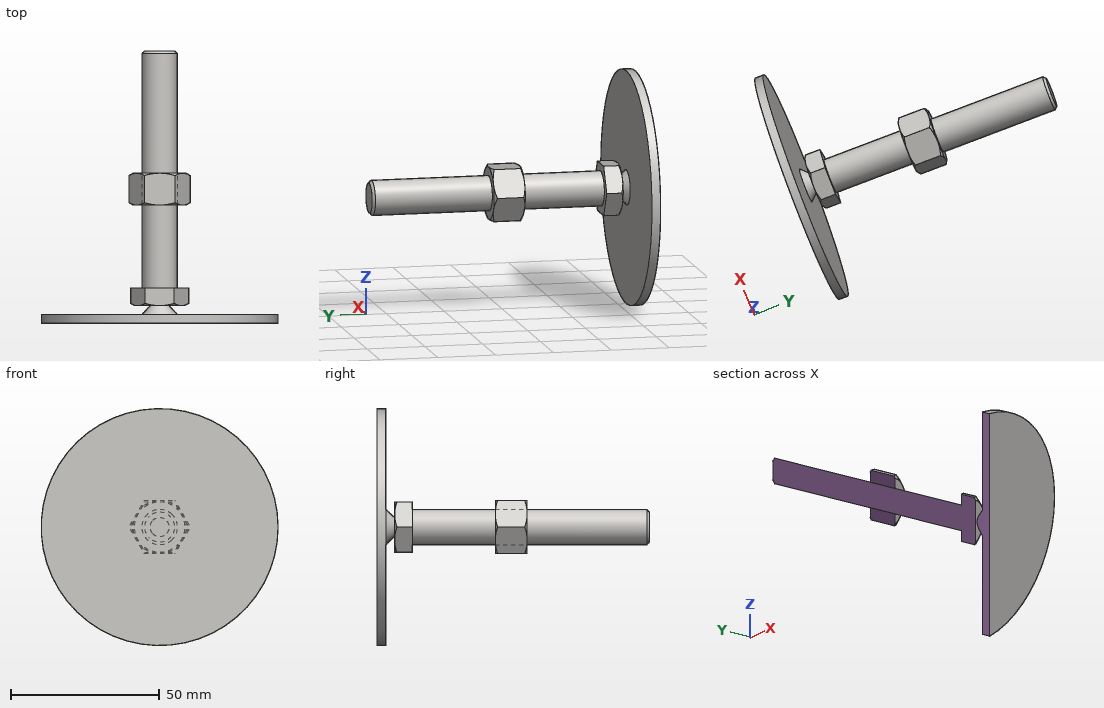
import cadquery as cq
import math

total_length = 92.0
plate_diameter = 80.0
plate_thickness = 3.0
cone_base_diameter = 12.0
cone_top_diameter = 6.4

stud_diameter = 12.0
stud_end_chamfer = 0.9
head_start = 6.0
head_height = 6.0
head_across_flats = 17.0

nut_start = 39.9
nut_height = 10.8
nut_across_flats = 17.9
hex_chamfer_angle = 30.0


def revolve_about_y(points):
    """Revolve a closed (radius, y) outline about the Y axis."""
    return cq.Workplane("XY").polyline(points).close().revolve(360, (0, 0), (0, 1))


def hex_block(across_flats, start, height, chamfer_far_end):
    """Hexagon with flats facing Z and conically chamfered corners on one or both ends."""
    corner_radius = across_flats / math.sqrt(3)
    face_radius = across_flats / 2
    chamfer_depth = (corner_radius - face_radius) * math.tan(math.radians(hex_chamfer_angle))
    end = start + height
    prism = (
        cq.Workplane("XZ")
        .workplane(offset=-start)
        .polygon(6, 2 * corner_radius)
        .extrude(-height)
    )
    outline = [(0, start), (face_radius, start), (corner_radius, start + chamfer_depth)]
    if chamfer_far_end:
        outline += [(corner_radius, end - chamfer_depth), (face_radius, end), (0, end)]
    else:
        outline += [(corner_radius, end), (0, end)]
    return prism.intersect(revolve_about_y(outline))


def make_foot():
    """Round base plate with a cone that rises to the underside of the stud head."""
    return revolve_about_y([
        (0, 0),
        (plate_diameter / 2, 0),
        (plate_diameter / 2, plate_thickness),
        (cone_base_diameter / 2, plate_thickness),
        (cone_top_diameter / 2, head_start),
        (0, head_start),
    ])


def make_stud():
    """Hexagon head with a plain shank, chamfered at its free end."""
    head = hex_block(head_across_flats, head_start, head_height, chamfer_far_end=False)
    stud_radius = stud_diameter / 2
    shank = revolve_about_y([
        (0, head_start + head_height),
        (stud_radius, head_start + head_height),
        (stud_radius, total_length - stud_end_chamfer),
        (stud_radius - stud_end_chamfer, total_length),
        (0, total_length),
    ])
    return head.union(shank)


def make_nut():
    """Hexagon nut, chamfered at both ends and bored to fit the shank."""
    blank = hex_block(nut_across_flats, nut_start, nut_height, chamfer_far_end=True)
    bore = (
        cq.Workplane("XZ")
        .workplane(offset=-nut_start)
        .circle(stud_diameter / 2)
        .extrude(-nut_height)
    )
    return blank.cut(bore)


foot = make_foot()
stud = make_stud()
nut = make_nut()

result = cq.Compound.makeCompound([foot.val(), stud.val(), nut.val()])